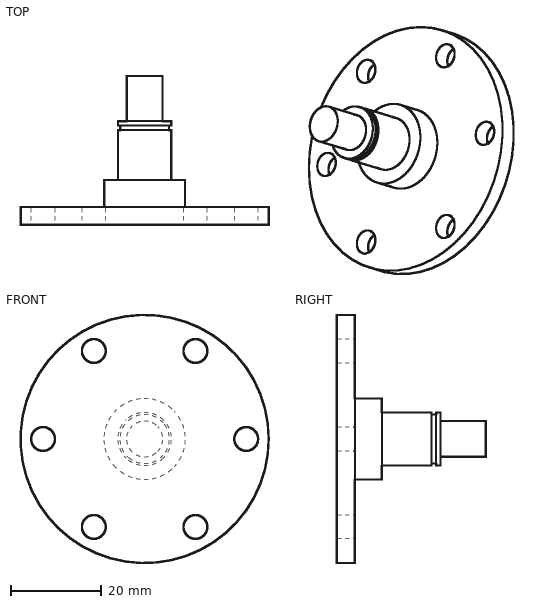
import cadquery as cq

flange_diameter = 55.0
flange_thickness = 4.0

hole_count = 6
hole_diameter = 5.2
bolt_circle_diameter = 45.0

overall_length = 33.0
hub_diameter = 18.0
hub_length = 6.0
journal_diameter = 11.8
tip_diameter = 8.0
tip_length = 10.0
journal_length = overall_length - flange_thickness - hub_length - tip_length

groove_diameter = 10.9
groove_width = 1.0
groove_lip = 1.0

hub_start = flange_thickness
journal_start = hub_start + hub_length
tip_start = journal_start + journal_length
groove_start = tip_start - groove_lip - groove_width


def cylinder(diameter, start, length):
    """Solid cylinder about the Y axis, from y = start to y = start + length."""
    plane = cq.Workplane("XZ", origin=(0, start, 0))
    return plane.circle(diameter / 2).extrude(-length)


def bolt_holes():
    """Pattern of cylinders that pass through the flange."""
    pattern = cq.Workplane("XZ").polarArray(bolt_circle_diameter / 2, 0, 360, hole_count)
    return pattern.circle(hole_diameter / 2).extrude(-flange_thickness)


def groove_ring():
    """Ring of material removed to form the retaining ring groove."""
    outer = cylinder(journal_diameter, groove_start, groove_width)
    return outer.cut(cylinder(groove_diameter, groove_start, groove_width))


flange = cylinder(flange_diameter, 0, flange_thickness).cut(bolt_holes())
hub = cylinder(hub_diameter, hub_start, hub_length)
journal = cylinder(journal_diameter, journal_start, journal_length).cut(groove_ring())
tip = cylinder(tip_diameter, tip_start, tip_length)

result = flange.union(hub).union(journal).union(tip)